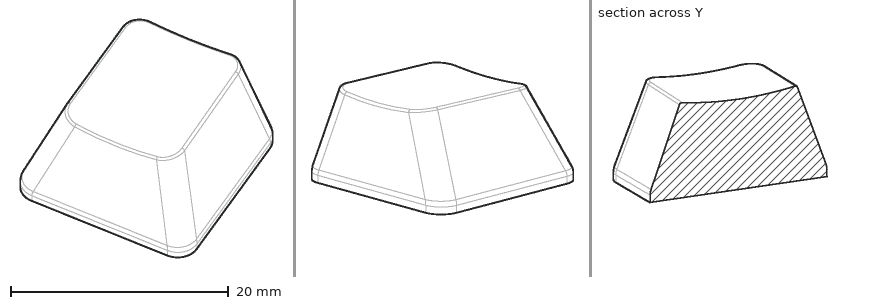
import cadquery as cq
import math

base_size = 18.16
base_half = base_size / 2
base_corner_radius = 2.0
skirt_height = 0.75

shoulder_height = 1.27
shoulder_steps = 4
corner_height = (skirt_height + shoulder_height) / 2

rim_height = 9.08
rim_side = 6.05
rim_front = 5.83
rim_back = 8.45
rim_corner_radius = 1.92

dish_radius = 36.32
dish_floor_height = 8.72
dish_tilt = 1.2
rim_fillet = 0.27
blank_height = 10.17


def rounded_outline(side, front, back, radius, height):
    """Wire of a rounded rectangle, symmetric in X, lying at the given height."""
    sketch = cq.Sketch().rect(2 * side, front + back).vertices().fillet(radius)
    outline = cq.Workplane("XY", origin=(0, (back - front) / 2, height)).placeSketch(sketch)
    return outline.extrude(0.18).faces("<Z").wires().val()


def wall_outline(height, wall_height):
    """Outline at a height, as wide as the straight sloping walls are at wall_height."""
    rise = (wall_height - corner_height) / (rim_height - corner_height)

    def slope(lower, upper):
        return lower + (upper - lower) * rise

    return rounded_outline(
        slope(base_half, rim_side),
        slope(base_half, rim_front),
        slope(base_half, rim_back),
        slope(base_corner_radius, rim_corner_radius),
        height,
    )


def shoulder_outline(step):
    """Outline on a parabolic blend, tangent to the skirt below and the walls above."""
    fraction = step / shoulder_steps
    height = skirt_height + (shoulder_height - skirt_height) * fraction
    wall_height = corner_height + (shoulder_height - corner_height) * fraction**2
    return wall_outline(height, wall_height)


def make_blank():
    """Vertical skirt, rounded shoulder and sloping walls."""
    base_outline = wall_outline(0, corner_height)
    shoulder_outlines = [shoulder_outline(step) for step in range(shoulder_steps + 1)]
    top_outline = wall_outline(blank_height, blank_height)
    skirt = cq.Solid.makeLoft([base_outline, shoulder_outlines[0]], True)
    shoulder = cq.Solid.makeLoft(shoulder_outlines)
    walls = cq.Solid.makeLoft([shoulder_outlines[-1], top_outline], True)
    return cq.Workplane(skirt).union(cq.Workplane(shoulder)).union(cq.Workplane(walls))


def make_dish():
    """Cylinder along Y, tilted so that the dish drops toward the front."""
    tilt = math.radians(dish_tilt)
    axis = cq.Vector(0, math.cos(tilt), math.sin(tilt))
    centre = cq.Vector(0, 0, dish_floor_height + dish_radius / math.cos(tilt))
    start = centre - axis * base_size
    return cq.Workplane(cq.Solid.makeCylinder(dish_radius, 2 * base_size, start, axis))


keycap = make_blank().cut(make_dish())
rim_face = keycap.faces(cq.selectors.NearestToPointSelector((0, 0, dish_floor_height)))
result = rim_face.edges().fillet(rim_fillet)